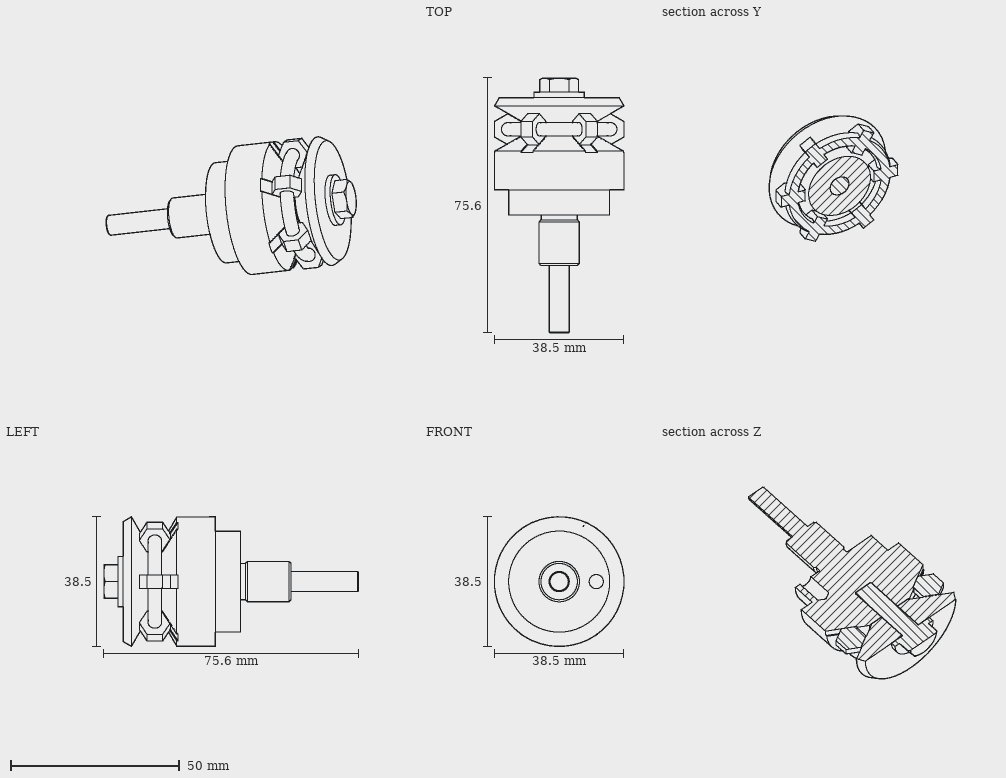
import cadquery as cq
import math

CONE_ANGLE = 30.0
CONE_SLOPE = math.tan(math.radians(CONE_ANGLE))

OUTER_RADIUS = 19.25
LUG_COUNT = 6
LUG_THICKNESS = 4.0
LUG_APOTHEM = 4.0
LUG_SIDE = 2 * LUG_APOTHEM / math.sqrt(3)
LUG_RADIUS = OUTER_RADIUS - LUG_APOTHEM
RING_WIRE_DIAMETER = 4.0

DISC_RIM_Y = LUG_SIDE + LUG_APOTHEM * CONE_SLOPE
DISC_BACK_Y = 9.4
DISC_BACK_RADIUS = OUTER_RADIUS - (DISC_BACK_Y - DISC_RIM_Y) * CONE_SLOPE
DISC_HUB_RADIUS = OUTER_RADIUS - DISC_RIM_Y / CONE_SLOPE

HOUSING_RIM_Y = -6.5
HOUSING_HUB_RADIUS = OUTER_RADIUS + HOUSING_RIM_Y / CONE_SLOPE
BODY_LENGTH = 11.45
SHOULDER_Y = HOUSING_RIM_Y - BODY_LENGTH
BOSS_RADIUS = 15.0
BOSS_LENGTH = 7.5
BOSS_END_Y = SHOULDER_Y - BOSS_LENGTH
NECK_RADIUS = 5.4
NECK_LENGTH = 1.4
COLLAR_RADIUS = 6.0
COLLAR_CHAMFER = COLLAR_RADIUS - NECK_RADIUS
COLLAR_LENGTH = 15.0
COLLAR_END_Y = BOSS_END_Y - COLLAR_LENGTH
SHANK_RADIUS = 3.0
SHANK_CHAMFER = 0.3
SHANK_LENGTH = 20.0
SHANK_END_Y = COLLAR_END_Y - SHANK_LENGTH
PIN_HOLE_X = 11.0
PIN_HOLE_RADIUS = 2.1
PIN_HOLE_DEPTH = 8.0
DRILL_POINT_ANGLE = 118.0
DRILL_POINT_LENGTH = PIN_HOLE_RADIUS / math.tan(math.radians(DRILL_POINT_ANGLE / 2))

FLANGE_RADIUS = 7.5
FLANGE_THICKNESS = 1.6
HEAD_ACROSS_FLATS = 10.0
HEAD_CORNER_RADIUS = HEAD_ACROSS_FLATS / math.sqrt(3)
HEAD_HEIGHT = 4.15
HEAD_BEVEL_RADIUS = HEAD_ACROSS_FLATS / 2
SCREW_RADIUS = 3.0
SCREW_END_Y = -12.0


def turned(points):
    """Solid of revolution about Y from (radius, y) points."""
    return cq.Workplane("XY").polyline(points).close().revolve(360, (0, 0), (0, 1))


def around_axis(body):
    """One copy of a body at each lug position."""
    step = 360 / LUG_COUNT
    return [body.rotate((0, 0, 0), (0, 1, 0), i * step) for i in range(LUG_COUNT)]


def make_lug_ring():
    ring = (
        cq.Workplane("XY")
        .center(LUG_RADIUS, 0)
        .circle(RING_WIRE_DIAMETER / 2)
        .revolve(360, (-LUG_RADIUS, 0), (-LUG_RADIUS, 1))
    )
    lug = (
        cq.Workplane("XY")
        .center(LUG_RADIUS, 0)
        .polygon(6, 2 * LUG_SIDE)
        .extrude(LUG_THICKNESS / 2, both=True)
        .rotate((LUG_RADIUS, 0, 0), (LUG_RADIUS, 0, 1), CONE_ANGLE)
    )
    for copy in around_axis(lug):
        ring = ring.union(copy)
    return ring


def make_disc():
    return turned([
        (SCREW_RADIUS, 0),
        (DISC_HUB_RADIUS, 0),
        (OUTER_RADIUS, DISC_RIM_Y),
        (DISC_BACK_RADIUS, DISC_BACK_Y),
        (SCREW_RADIUS, DISC_BACK_Y),
    ])


def make_lug_slot():
    """Cutter whose floor continues the sloping inner face of a lug out past the rim."""
    inner_radius = LUG_RADIUS - LUG_APOTHEM
    inner_y = -LUG_SIDE / 2
    outer_radius = OUTER_RADIUS + LUG_APOTHEM
    outer_y = inner_y - (outer_radius - inner_radius) * CONE_SLOPE
    return (
        cq.Workplane("XY")
        .polyline([(inner_radius, 0), (inner_radius, inner_y), (outer_radius, outer_y), (outer_radius, 0)])
        .close()
        .extrude(LUG_THICKNESS / 2, both=True)
    )


def make_pin_hole():
    """Drilled hole with a conical bottom, entering the boss face."""
    bottom_y = BOSS_END_Y + PIN_HOLE_DEPTH
    return turned([
        (0, BOSS_END_Y),
        (PIN_HOLE_RADIUS, BOSS_END_Y),
        (PIN_HOLE_RADIUS, bottom_y),
        (0, bottom_y + DRILL_POINT_LENGTH),
    ]).translate((PIN_HOLE_X, 0, 0))


def make_housing():
    neck_end_y = BOSS_END_Y - NECK_LENGTH
    housing = turned([
        (0, SCREW_END_Y),
        (SCREW_RADIUS, SCREW_END_Y),
        (SCREW_RADIUS, 0),
        (HOUSING_HUB_RADIUS, 0),
        (OUTER_RADIUS, HOUSING_RIM_Y),
        (OUTER_RADIUS, SHOULDER_Y),
        (BOSS_RADIUS, SHOULDER_Y),
        (BOSS_RADIUS, BOSS_END_Y),
        (NECK_RADIUS, BOSS_END_Y),
        (NECK_RADIUS, neck_end_y),
        (COLLAR_RADIUS, neck_end_y - COLLAR_CHAMFER),
        (COLLAR_RADIUS, COLLAR_END_Y + COLLAR_CHAMFER),
        (COLLAR_RADIUS - COLLAR_CHAMFER, COLLAR_END_Y),
        (SHANK_RADIUS, COLLAR_END_Y),
        (SHANK_RADIUS, SHANK_END_Y + SHANK_CHAMFER),
        (SHANK_RADIUS - SHANK_CHAMFER, SHANK_END_Y),
        (0, SHANK_END_Y),
    ])
    for slot in around_axis(make_lug_slot()):
        housing = housing.cut(slot)
    return housing.cut(make_pin_hole())


def make_screw():
    flange_top_y = DISC_BACK_Y + FLANGE_THICKNESS
    head_top_y = flange_top_y + HEAD_HEIGHT
    stem = turned([
        (0, SCREW_END_Y),
        (SCREW_RADIUS, SCREW_END_Y),
        (SCREW_RADIUS, DISC_BACK_Y),
        (FLANGE_RADIUS, DISC_BACK_Y),
        (FLANGE_RADIUS, flange_top_y),
        (0, flange_top_y),
    ])
    head = (
        cq.Workplane("XZ", origin=(0, flange_top_y, 0))
        .polygon(6, 2 * HEAD_CORNER_RADIUS)
        .extrude(-HEAD_HEIGHT)
    )
    bevel_drop = (HEAD_CORNER_RADIUS - HEAD_BEVEL_RADIUS) * CONE_SLOPE
    bevel_envelope = turned([
        (0, flange_top_y),
        (HEAD_CORNER_RADIUS, flange_top_y),
        (HEAD_CORNER_RADIUS, head_top_y - bevel_drop),
        (HEAD_BEVEL_RADIUS, head_top_y),
        (0, head_top_y),
    ])
    return stem.union(head.intersect(bevel_envelope))


lug_ring = make_lug_ring()
disc = make_disc()
housing = make_housing()
screw = make_screw()

bodies = [housing, lug_ring, disc, screw]
result = cq.Compound.makeCompound([body.solids().val() for body in bodies])